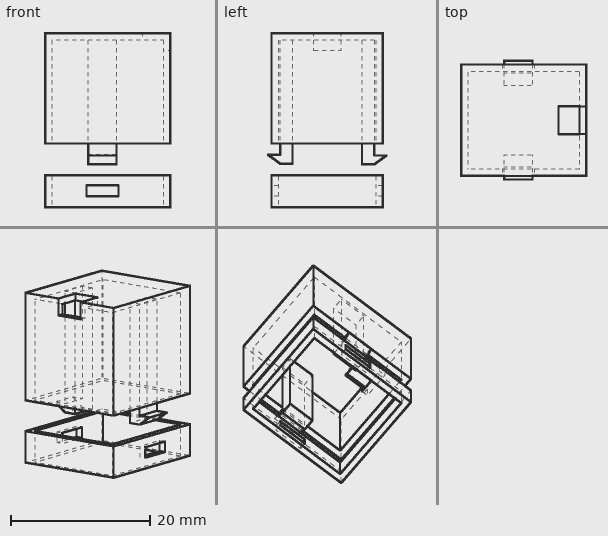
import cadquery as cq

LENGTH = 18.0
WIDTH = 16.0
WALL = 1.0
TOTAL_HEIGHT = 25.0

RING_HEIGHT = 4.62
WINDOW_CENTRE_X = -0.75
WINDOW_LENGTH = 4.55
WINDOW_BOTTOM = 1.6
WINDOW_HEIGHT = 1.55

COVER_BOTTOM = 9.15
COVER_HEIGHT = TOTAL_HEIGHT - COVER_BOTTOM
NOTCH_SIZE = 4.0
NOTCH_DEPTH = 2.5

CLIP_CENTRE_X = -0.78
CLIP_LENGTH = 4.1
LEG_INSET = 1.25
LEG_THICKNESS = 1.78
HOOK_REACH = 1.788
HOOK_HEIGHT = 1.3
FRONT_CLIP_DROP = 3.0
BACK_CLIP_DROP = 2.9


def make_ring():
    """Rectangular frame with a window through each of its two long sides."""
    ring = (
        cq.Workplane("XY")
        .rect(LENGTH, WIDTH)
        .rect(LENGTH - 2 * WALL, WIDTH - 2 * WALL)
        .extrude(RING_HEIGHT)
    )
    windows = cq.Workplane("XY").box(
        WINDOW_LENGTH, WIDTH, WINDOW_HEIGHT, centered=(True, True, False)
    ).translate((WINDOW_CENTRE_X, 0, WINDOW_BOTTOM))
    return ring.cut(windows)


def make_clip(side, drop):
    """Snap clip hanging from the cover's ceiling; side is -1 for -Y, +1 for +Y."""
    outer_y = WIDTH / 2 - LEG_INSET
    inner_y = outer_y - LEG_THICKNESS
    tip_y = outer_y + HOOK_REACH
    ceiling_z = TOTAL_HEIGHT - WALL
    foot_z = COVER_BOTTOM - drop
    hook_z = foot_z + HOOK_HEIGHT
    profile = [
        (inner_y, ceiling_z),
        (outer_y, ceiling_z),
        (outer_y, hook_z),
        (tip_y, hook_z),
        (outer_y, foot_z),
        (inner_y, foot_z),
    ]
    return (
        cq.Workplane("YZ")
        .polyline([(side * y, z) for y, z in profile])
        .close()
        .extrude(CLIP_LENGTH / 2, both=True)
        .translate((CLIP_CENTRE_X, 0, 0))
    )


def make_cover():
    """Hollow cover with a notch in its +X top edge and a clip on each long side."""
    shell = cq.Workplane("XY").box(
        LENGTH, WIDTH, COVER_HEIGHT, centered=(True, True, False)
    )
    cavity = cq.Workplane("XY").box(
        LENGTH - 2 * WALL, WIDTH - 2 * WALL, COVER_HEIGHT - WALL, centered=(True, True, False)
    )
    cover = shell.cut(cavity).translate((0, 0, COVER_BOTTOM))
    notch = cq.Workplane("XY").box(
        NOTCH_SIZE, NOTCH_SIZE, NOTCH_DEPTH, centered=(False, True, False)
    ).translate((LENGTH / 2 - NOTCH_SIZE, 0, TOTAL_HEIGHT - NOTCH_DEPTH))
    cover = cover.cut(notch)
    for side, drop in ((-1, FRONT_CLIP_DROP), (1, BACK_CLIP_DROP)):
        cover = cover.union(make_clip(side, drop))
    return cover


ring = make_ring()
cover = make_cover()
result = cq.Compound.makeCompound([ring.val(), cover.val()])